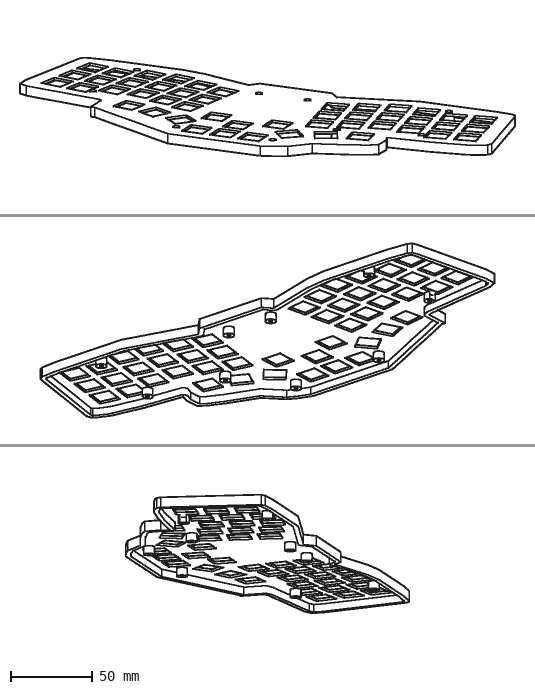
import cadquery as cq
import math


height = 6.3
plate_thickness = 1.5
rim_thickness = 3.2

key_size = 14.0
key_pitch = 19.0
wing_angle = 10.0
row_count = 3
inner_column_top = (38.0, 31.7)
column_stagger = [0.0, 3.5, 7.0, 3.5, -3.5, -3.5]

thumb_keys = [(78.3, -18.7, wing_angle), (58.0, -25.0, 26.0), (36.8, -32.5, 40.5)]

bottom_row_y = -47.5
centre_key_y = bottom_row_y + key_pitch
upper_keys = [(-19.3, -18.0), (22.0, -17.5)]

screw_diameter = 2.2
screw_head_diameter = 4.0
screw_head_depth = 3.2
boss_diameter = 6.5
paired_screws = [(105.5, 52.0), (16.5, 37.7), (111.3, -0.3), (32.5, -48.2)]
single_screw = (59.3, -12.0)

outline_points = [
    (-129.7, 63.7), (-79.5, 63.7), (-64.5, 61.5), (-29.8, 51.5), (-24.7, 57.0),
    (24.0, 57.0), (30.0, 50.7), (80.5, 63.7),
    (132.0, 63.7), (143.3, 62.8), (146.0, 61.2), (147.0, 58.5),
    (158.5, 0.3), (157.2, -3.0), (154.7, -4.8), (146.0, -8.2), (123.3, -12.0), (94.5, -14.5),
    (96.5, -20.0), (96.0, -30.5), (91.3, -33.5), (80.2, -38.5), (58.3, -45.5),
    (47.0, -57.5), (40.3, -60.5), (31.5, -63.7),
    (-31.0, -63.7), (-49.8, -54.5), (-60.2, -49.0), (-81.0, -39.0), (-95.5, -31.7), (-98.3, -31.7),
    (-98.3, -16.2), (-101.0, -15.0), (-113.5, -13.3), (-124.3, -11.7), (-152.8, -8.0), (-158.5, -5.0), (-158.5, 3.5),
    (-148.0, 58.0), (-146.8, 61.2), (-144.0, 62.5),
]


def wing_keys():
    """Top-right block of keys: distance from X = 0, Y, tilt."""
    tilt = math.radians(wing_angle)
    keys = []
    for column, stagger in enumerate(column_stagger):
        for row in range(row_count):
            across = column * key_pitch
            along = stagger - row * key_pitch
            x = inner_column_top[0] + across * math.cos(tilt) - along * math.sin(tilt)
            y = inner_column_top[1] + across * math.sin(tilt) + along * math.cos(tilt)
            keys.append((x, y, wing_angle))
    return keys


def key_positions():
    """Every key opening as X, Y, tilt."""
    keys = []
    for side in (1, -1):
        for distance, y, tilt in wing_keys() + thumb_keys:
            keys.append((side * distance, y, side * tilt))
    for step in (-1, 0, 1):
        keys.append((step * key_pitch, bottom_row_y, 0))
    keys.append((0, centre_key_y, 0))
    for x, y in upper_keys:
        keys.append((x, y, 0))
    return keys


def screw_positions():
    points = [(side * distance, y) for distance, y in paired_screws for side in (1, -1)]
    return points + [single_screw]


def cylinders(points, diameter, bottom, top):
    return cq.Workplane("XY").workplane(offset=bottom).pushPoints(points).circle(diameter / 2).extrude(top - bottom)


def hollow_case():
    outline = cq.Workplane("XY").polyline(outline_points).close()
    cavity = (
        cq.Workplane("XY").polyline(outline_points).close()
        .offset2D(-rim_thickness)
        .extrude(height - plate_thickness)
    )
    return outline.extrude(height).cut(cavity)


def key_cutters():
    cutters = cq.Workplane("XY")
    for x, y, tilt in key_positions():
        cutter = cq.Workplane("XY").rect(key_size, key_size).extrude(height)
        cutter = cutter.rotate((0, 0, 0), (0, 0, 1), tilt)
        cutters = cutters.add(cutter.translate((x, y, 0)))
    return cutters.combine()


screws = screw_positions()
case = hollow_case()
case = case.union(cylinders(screws, boss_diameter, 0, height - plate_thickness))
case = case.cut(key_cutters())
case = case.cut(cylinders(screws, screw_diameter, 0, height))
result = case.cut(cylinders(screws, screw_head_diameter, height - screw_head_depth, height))